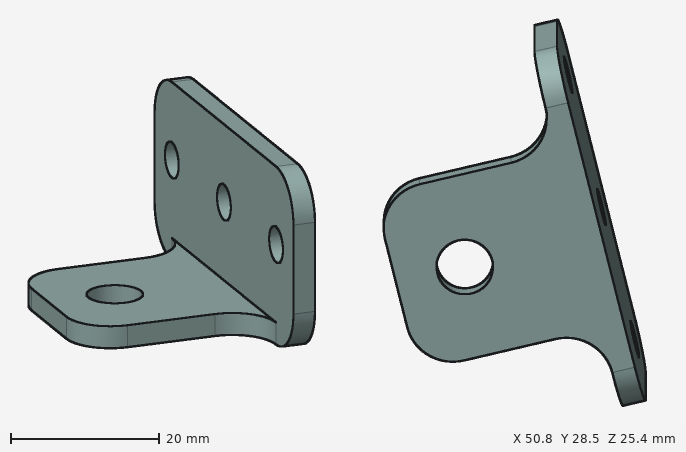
import cadquery as cq

plate_width = 50.8
plate_height = 25.4
thickness = 3.15
corner_radius = 6.35
tab_width = 25.4
tab_length = 25.4
mount_hole_diameter = 5.05
mount_hole_spacing = 19.05
tab_hole_diameter = 7.6
tab_hole_from_plate = 15.85

mount_hole_height = (thickness + plate_height) / 2
tab_half = tab_width / 2
tab_root_half = tab_half + corner_radius


def make_plate():
    """Upright rounded plate with its front face on Y = 0 and its bottom on Z = 0."""
    plate = (
        cq.Workplane("XY")
        .box(plate_width, thickness, plate_height, centered=(True, False, False))
        .edges("|Y")
        .fillet(corner_radius)
    )
    holes = (
        cq.Workplane("XZ", origin=(0, thickness, mount_hole_height))
        .pushPoints([(i * mount_hole_spacing, 0) for i in (-1, 0, 1)])
        .circle(mount_hole_diameter / 2)
        .extrude(thickness)
    )
    return plate.cut(holes)


def make_tab():
    """Horizontal tab with flared root, rounded free corners and one hole."""
    tab = (
        cq.Workplane("XY")
        .moveTo(-tab_root_half, 0)
        .radiusArc((-tab_half, -corner_radius), corner_radius)
        .lineTo(-tab_half, -tab_length + corner_radius)
        .radiusArc((-tab_half + corner_radius, -tab_length), -corner_radius)
        .lineTo(tab_half - corner_radius, -tab_length)
        .radiusArc((tab_half, -tab_length + corner_radius), -corner_radius)
        .lineTo(tab_half, -corner_radius)
        .radiusArc((tab_root_half, 0), corner_radius)
        .close()
        .extrude(thickness)
    )
    hole = (
        cq.Workplane("XY")
        .center(0, -tab_hole_from_plate)
        .circle(tab_hole_diameter / 2)
        .extrude(thickness)
    )
    return tab.cut(hole)


result = make_plate().union(make_tab())